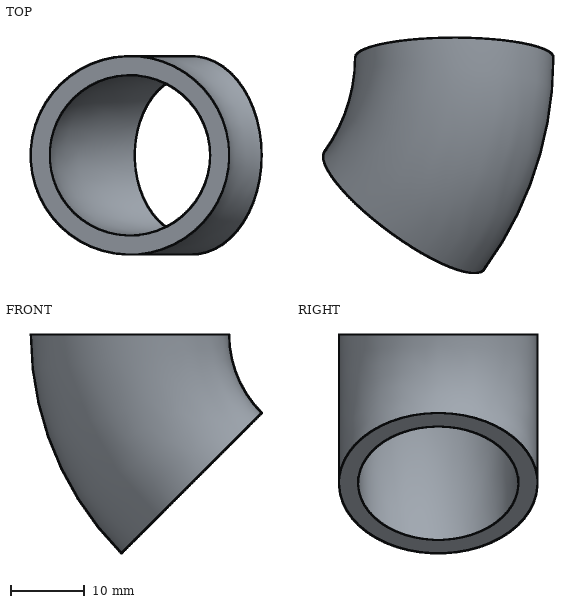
import cadquery as cq

outer_diameter = 26.9
wall_thickness = 2.6
inner_diameter = outer_diameter - 2 * wall_thickness

bend_radius = 28.5
bend_angle = 45


def pipe_elbow():
    """Sweep the ring section down from the XY plane, bending toward +X."""
    axis_start = (bend_radius, 0)
    axis_end = (bend_radius, -1)
    return (
        cq.Workplane("XY")
        .circle(outer_diameter / 2)
        .circle(inner_diameter / 2)
        .revolve(bend_angle, axis_start, axis_end)
    )


result = pipe_elbow()